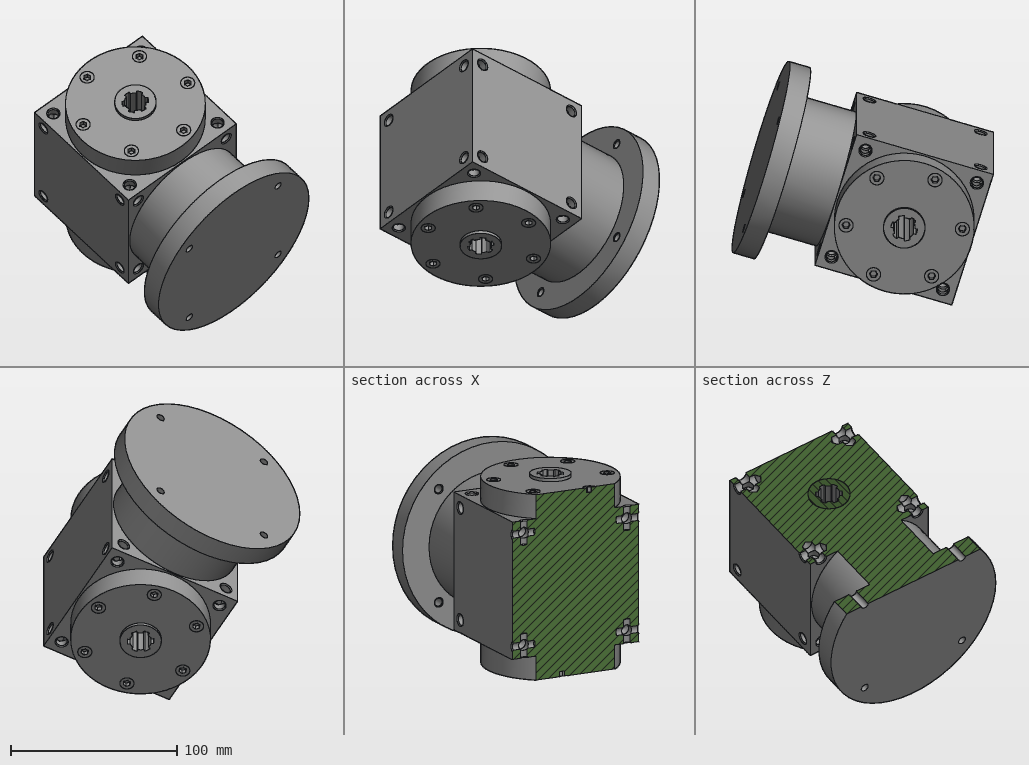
import cadquery as cq
import math

COVER_DIA = 84.0
COVER_TOP = 58.0

COVER_INSET = 0.97
CUBE = COVER_DIA + 2 * COVER_INSET
CUBE_CENTRE = (CUBE / 2, 0, 0)

SCREW_COUNT = 6
SCREW_CIRCLE_RADIUS = 35.0
FIRST_SCREW_ANGLE = 15
SCREW_HEAD_DIA = 8.5
SCREW_HEAD_SINK = 0.1
SOCKET_ACROSS_FLATS = 4
SOCKET_DEPTH = 3.0

OVERALL_LENGTH = 133
BARREL_DIA = COVER_DIA
FLANGE_DIA = 120.0
FLANGE_THICKNESS = 13.0
FLANGE_START = OVERALL_LENGTH - FLANGE_THICKNESS
FLANGE_HOLE_DIA = 4.9
FLANGE_HOLE_MOUTH_DIA = 6.0
FLANGE_HOLE_CIRCLE_DIA = 100.0

CORNER_HOLE_DIA = 6.6
CORNER_HOLE_MOUTH_DIA = 8
CORNER_HOLE_DEPTH = 15.0
CORNER_HOLE_SPACING = 70.0
DRILL_POINT_ANGLE = 118

SHAFT_DIA = 25.0
SHAFT_LENGTH = 120.0
SPLINE_COUNT = 6
SPLINE_MINOR_DIA = 13.0
SPLINE_MAJOR_DIA = 16
SPLINE_WIDTH = 3.5


def square_pattern(plane, spacing):
    """Four points on the corners of a square, in the given plane."""
    return cq.Workplane(plane).rect(spacing, spacing, forConstruction=True).vertices()


def corner_drill():
    """Cutter for one tapped hole: 45 degree mouth, bore and drill point, running down from Z = 0."""
    radius = CORNER_HOLE_DIA / 2
    mouth_radius = CORNER_HOLE_MOUTH_DIA / 2
    mouth_depth = mouth_radius - radius
    point_depth = radius / math.tan(math.radians(DRILL_POINT_ANGLE / 2))
    return (
        cq.Workplane("XZ")
        .lineTo(mouth_radius, 0)
        .lineTo(radius, -mouth_depth)
        .lineTo(radius, -CORNER_HOLE_DEPTH)
        .lineTo(0, -CORNER_HOLE_DEPTH - point_depth)
        .close()
        .revolve(360, (0, 0, 0), (0, 1, 0))
        .val()
    )


def cut_corner_holes(body):
    drill = corner_drill()
    half = CUBE / 2
    face_planes = [
        cq.Plane(origin=cq.Vector(CUBE_CENTRE) + cq.Vector(normal) * half, xDir=x_dir, normal=normal)
        for normal, x_dir in [
            ((1, 0, 0), (0, 1, 0)),
            ((-1, 0, 0), (0, 1, 0)),
            ((0, 1, 0), (1, 0, 0)),
            ((0, -1, 0), (1, 0, 0)),
            ((0, 0, 1), (1, 0, 0)),
            ((0, 0, -1), (1, 0, 0)),
        ]
    ]
    for plane in face_planes:
        holes = square_pattern(plane, CORNER_HOLE_SPACING).eachpoint(drill, True)
        body = body.cut(holes)
    return body


def cut_screw_heads(body):
    """Cut the shallow recess over each screw head and the hexagon socket in it, in both covers."""
    socket_sides = 6
    socket_corner_dia = SOCKET_ACROSS_FLATS / math.cos(math.pi / socket_sides)
    for side in (1, -1):
        plane = cq.Plane(
            origin=(CUBE / 2, 0, side * COVER_TOP),
            xDir=(1, 0, 0),
            normal=(0, 0, side),
        )
        screws = cq.Workplane(plane).polarArray(
            SCREW_CIRCLE_RADIUS, FIRST_SCREW_ANGLE, 360, SCREW_COUNT
        )
        recesses = screws.circle(SCREW_HEAD_DIA / 2).extrude(-SCREW_HEAD_SINK)
        sockets = screws.polygon(socket_sides, socket_corner_dia).extrude(-SCREW_HEAD_SINK - SOCKET_DEPTH)
        body = body.cut(recesses).cut(sockets)
    return body


def cut_flange_holes(body):
    """Cut the four through holes of the motor flange, each chamfered on the side facing the cube."""
    spacing = FLANGE_HOLE_CIRCLE_DIA / math.sqrt(2)
    plane = cq.Plane(origin=(FLANGE_START, 0, 0), xDir=(0, 1, 0), normal=(1, 0, 0))
    mouth_depth = (FLANGE_HOLE_MOUTH_DIA - FLANGE_HOLE_DIA) / 2
    bores = square_pattern(plane, spacing).circle(FLANGE_HOLE_DIA / 2).extrude(FLANGE_THICKNESS)
    mouth = cq.Solid.makeCone(FLANGE_HOLE_MOUTH_DIA / 2, FLANGE_HOLE_DIA / 2, mouth_depth)
    mouths = square_pattern(plane, spacing).eachpoint(mouth, True)
    return body.cut(bores).cut(mouths)


def make_housing():
    cube = cq.Workplane(cq.Plane(origin=CUBE_CENTRE)).box(CUBE, CUBE, CUBE)
    covers = cq.Workplane("XY", origin=CUBE_CENTRE).circle(COVER_DIA / 2).extrude(COVER_TOP, both=True)
    barrel = (
        cq.Workplane("YZ", origin=CUBE_CENTRE)
        .circle(BARREL_DIA / 2)
        .extrude(OVERALL_LENGTH - CUBE / 2)
    )
    flange = (
        cq.Workplane("YZ", origin=(FLANGE_START, 0, 0))
        .circle(FLANGE_DIA / 2)
        .extrude(FLANGE_THICKNESS)
    )
    shaft_bore = (
        cq.Workplane("XY", origin=CUBE_CENTRE).circle(SHAFT_DIA / 2).extrude(COVER_TOP, both=True)
    )
    body = cube.union(covers).union(barrel).union(flange).cut(shaft_bore)
    body = cut_corner_holes(body)
    body = cut_screw_heads(body)
    return cut_flange_holes(body)


def make_shaft():
    base = cq.Workplane("XY", origin=CUBE_CENTRE)
    half_length = SHAFT_LENGTH / 2
    shaft = base.circle(SHAFT_DIA / 2).extrude(half_length, both=True)
    bore = base.circle(SPLINE_MINOR_DIA / 2).extrude(half_length, both=True)
    spline_limit = base.circle(SPLINE_MAJOR_DIA / 2).extrude(half_length, both=True)
    for index in range(SPLINE_COUNT // 2):
        slot_pair = (
            base.transformed(rotate=(0, 0, index * 360 / SPLINE_COUNT))
            .rect(SHAFT_DIA, SPLINE_WIDTH)
            .extrude(half_length, both=True)
        )
        bore = bore.union(slot_pair.intersect(spline_limit))
    return shaft.cut(bore)


housing = make_housing()
shaft = make_shaft()

result = cq.Compound.makeCompound([housing.val(), shaft.val()])